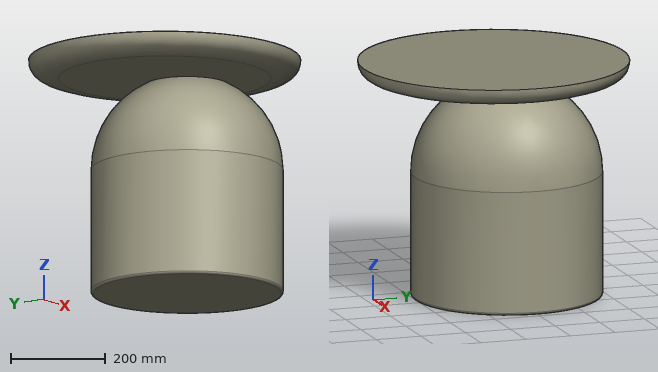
import cadquery as cq
import math

top_diameter = 576.0
top_thickness = 40.0
rim_curve_width = 63.5
rim_bottom_pull = 0.6
rim_upright_pull = 0.75
base_radius = 203.5
total_height = 490.5
shoulder_height = 267.5
foot_fillet = 5.0

top_radius = top_diameter / 2
underside_height = total_height - top_thickness
dome_height = underside_height - shoulder_height
base_offset = top_radius - base_radius
seat_radius = math.sqrt(base_radius**2 - dome_height**2)


def make_base():
    """Cylinder with a spherical dome, cut flat where the table top rests."""
    mid_angle = (math.pi / 2 - math.asin(seat_radius / base_radius)) / 2
    dome_mid = (
        base_radius * math.cos(mid_angle),
        shoulder_height + base_radius * math.sin(mid_angle),
    )
    profile = (
        cq.Workplane("XZ")
        .lineTo(base_radius, 0)
        .lineTo(base_radius, shoulder_height)
        .threePointArc(dome_mid, (seat_radius, underside_height))
        .lineTo(0, underside_height)
        .close()
    )
    body = profile.revolve(360, (0, 0, 0), (0, 1, 0))
    body = body.faces("<Z").edges().fillet(foot_fillet)
    return body.translate((base_offset, 0, 0))


def make_table_top():
    """Round disc with one smooth rim curve, flat at the underside and upright at the top."""
    flat_radius = top_radius - rim_curve_width
    rim_controls = [
        (flat_radius, 0),
        (flat_radius + rim_bottom_pull * rim_curve_width, 0),
        (top_radius, top_thickness * (1 - rim_upright_pull)),
        (top_radius, top_thickness),
    ]
    profile = (
        cq.Workplane("XZ")
        .lineTo(flat_radius, 0)
        .bezier(rim_controls)
        .lineTo(0, top_thickness)
        .close()
    )
    disc = profile.revolve(360, (0, 0, 0), (0, 1, 0))
    return disc.translate((0, 0, underside_height))


base = make_base()
table_top = make_table_top()
result = cq.Compound.makeCompound([base.val(), table_top.val()])